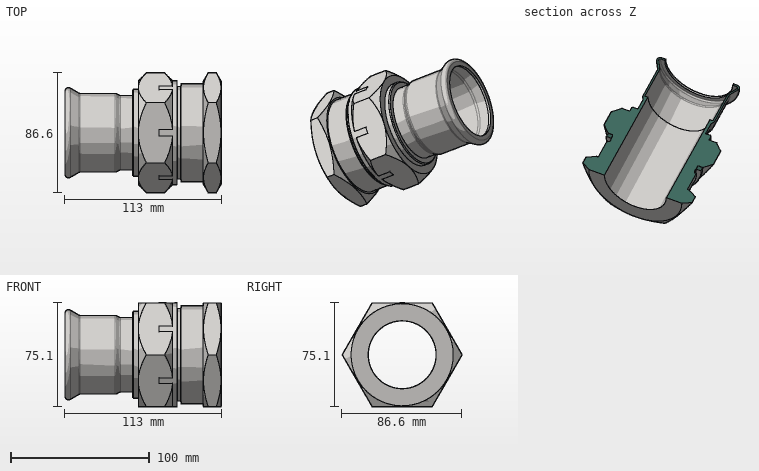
import cadquery as cq
import math

TOTAL_LENGTH = 113.0
LIP_END_X = 11.0
SOCKET_END_X = 36.3
COLLAR_X = 48.8
NUT_X = 53.0
TAB_X = 67.9
RING_X = 77.7
RING_END_X = 80.9
BARREL_X = 84.0
HEX_X = 99.7

SOCKET_R = 57.0 / 2
NECK_R = 54.0 / 2
COLLAR_R = 63.0 / 2
GROOVE_R = 67.0 / 2
BARREL_R = 71.0 / 2
RING_R = 75.1 / 2
MOUTH_R = 26.8
BORE_R = 24.4

SHEET = SOCKET_R - MOUTH_R
FORM_ANGLE = math.radians(30)
LIP_BEND_R = 2.6
LIP_BLEND_R = 1.6
NECK_BEND_R = 2.5

COLLAR_CHAMFER = 0.8
BARREL_RAMP = 0.7
SEAT_RAMP = 0.3
SEAT_R = GROOVE_R + SEAT_RAMP

HEX_SIDES = 6
ACROSS_FLATS = 75.0
FLAT_R = ACROSS_FLATS / 2
CORNER_R = FLAT_R / math.cos(math.pi / HEX_SIDES)
NUT_CHAMFER_ANGLE = math.radians(45)
HEX_CHAMFER_ANGLE = math.radians(30)
HEX_FACE_R = 36.8
TAB_WIDTH = 4.7


def cylinder(x_start, x_end, radius):
    """Solid cylinder along X between two stations."""
    return cq.Workplane("YZ", origin=(x_start, 0, 0)).circle(radius).extrude(x_end - x_start)


def revolve_about_x(profile):
    return profile.close().revolve(360, (0, 0, 0), (1, 0, 0))


def arc_point(center, radius, angle):
    """Point on an arc; the angle is measured from +radial toward +X."""
    return (center[0] + radius * math.sin(angle), center[1] + radius * math.cos(angle))


def chamfered_hexagon(x_start, x_end, face_radius, chamfer_angle):
    """Hexagon with horizontal top and bottom flats and conically turned corners."""
    depth = (CORNER_R - face_radius) * math.tan(chamfer_angle)
    prism = (
        cq.Workplane("YZ", origin=(x_start, 0, 0))
        .polygon(HEX_SIDES, 2 * CORNER_R)
        .extrude(x_end - x_start)
    )
    turning = revolve_about_x(
        cq.Workplane("XY")
        .moveTo(x_start, 0)
        .lineTo(x_start, face_radius)
        .lineTo(x_start + depth, CORNER_R)
        .lineTo(x_end - depth, CORNER_R)
        .lineTo(x_end, face_radius)
        .lineTo(x_end, 0)
    )
    return prism.intersect(turning)


BLEND_CENTER = (LIP_END_X, SOCKET_R + LIP_BLEND_R)
BLEND_START = arc_point(BLEND_CENTER, -LIP_BLEND_R, FORM_ANGLE)
LIP_CONE_X = LIP_BEND_R * (1 + math.sin(FORM_ANGLE))
LIP_CONE_R = BLEND_START[1] + (BLEND_START[0] - LIP_CONE_X) * math.tan(FORM_ANGLE)
LIP_CENTER = (LIP_BEND_R, LIP_CONE_R - LIP_BEND_R * math.cos(FORM_ANGLE))

BEND_DROP = NECK_BEND_R * (1 - math.cos(FORM_ANGLE))
NECK_CONE_LENGTH = (SOCKET_R - NECK_R - 2 * BEND_DROP) / math.tan(FORM_ANGLE)
NECK_X = SOCKET_END_X + 2 * NECK_BEND_R * math.sin(FORM_ANGLE) + NECK_CONE_LENGTH
SHOULDER_CENTER = (SOCKET_END_X, SOCKET_R - NECK_BEND_R)
NECK_CENTER = (NECK_X, NECK_R + NECK_BEND_R)


def turned_envelope():
    """Solid of revolution: lip, socket, neck, collar, ring seat, groove and barrel."""
    return revolve_about_x(
        cq.Workplane("XY")
        .moveTo(0, 0)
        .lineTo(0, LIP_CENTER[1])
        .threePointArc(
            arc_point(LIP_CENTER, LIP_BEND_R, 0),
            arc_point(LIP_CENTER, LIP_BEND_R, FORM_ANGLE),
        )
        .lineTo(*BLEND_START)
        .threePointArc(
            arc_point(BLEND_CENTER, -LIP_BLEND_R, FORM_ANGLE / 2),
            (LIP_END_X, SOCKET_R),
        )
        .lineTo(SOCKET_END_X, SOCKET_R)
        .threePointArc(
            arc_point(SHOULDER_CENTER, NECK_BEND_R, FORM_ANGLE / 2),
            arc_point(SHOULDER_CENTER, NECK_BEND_R, FORM_ANGLE),
        )
        .lineTo(*arc_point(NECK_CENTER, -NECK_BEND_R, FORM_ANGLE))
        .threePointArc(
            arc_point(NECK_CENTER, -NECK_BEND_R, FORM_ANGLE / 2),
            (NECK_X, NECK_R),
        )
        .lineTo(COLLAR_X, NECK_R)
        .lineTo(COLLAR_X, COLLAR_R - COLLAR_CHAMFER)
        .lineTo(COLLAR_X + COLLAR_CHAMFER, COLLAR_R)
        .lineTo(NUT_X, COLLAR_R)
        .lineTo(NUT_X, SEAT_R)
        .lineTo(RING_END_X, SEAT_R)
        .lineTo(RING_END_X + SEAT_RAMP, GROOVE_R)
        .lineTo(BARREL_X - BARREL_RAMP, GROOVE_R)
        .lineTo(BARREL_X, GROOVE_R + BARREL_RAMP)
        .lineTo(BARREL_X, BARREL_R)
        .lineTo(HEX_X, BARREL_R)
        .lineTo(HEX_X, 0)
    )


def socket_cavity():
    """Mouth, seal groove inside the lip, and socket; its walls follow the formed sheet."""
    inner_lip_r = LIP_BEND_R - SHEET
    inner_blend_r = LIP_BLEND_R + SHEET
    return revolve_about_x(
        cq.Workplane("XY")
        .moveTo(0, 0)
        .lineTo(0, MOUTH_R)
        .lineTo(SHEET, MOUTH_R)
        .lineTo(SHEET, LIP_CENTER[1])
        .threePointArc(
            arc_point(LIP_CENTER, inner_lip_r, 0),
            arc_point(LIP_CENTER, inner_lip_r, FORM_ANGLE),
        )
        .lineTo(*arc_point(BLEND_CENTER, -inner_blend_r, FORM_ANGLE))
        .threePointArc(
            arc_point(BLEND_CENTER, -inner_blend_r, FORM_ANGLE / 2),
            (LIP_END_X, MOUTH_R),
        )
        .lineTo(SOCKET_END_X, MOUTH_R)
        .lineTo(SOCKET_END_X, 0)
    )


def make_locking_ring():
    """Ring behind the nut with one locking tab at the middle of each hexagon flat."""
    ring = cylinder(RING_X, RING_END_X, RING_R)
    tab_blanks = cylinder(TAB_X, RING_X, RING_R)
    for index in range(HEX_SIDES // 2):
        bar = (
            cq.Workplane("XY")
            .box(RING_X - TAB_X, TAB_WIDTH, 2 * CORNER_R, centered=(False, True, True))
            .translate((TAB_X, 0, 0))
            .rotate((0, 0, 0), (1, 0, 0), index * 360 / HEX_SIDES)
        )
        ring = ring.union(tab_blanks.intersect(bar))
    return ring.cut(cylinder(TAB_X, RING_END_X, SEAT_R))


def nut_slots():
    """Slots that take the tabs, open through the hexagon flats."""
    slots = cq.Workplane("XY")
    for index in range(HEX_SIDES):
        slot = (
            cq.Workplane("XY")
            .box(RING_X - TAB_X, TAB_WIDTH, CORNER_R, centered=(False, True, False))
            .translate((TAB_X, 0, 0))
            .rotate((0, 0, 0), (1, 0, 0), index * 360 / HEX_SIDES)
        )
        slots = slots.add(slot)
    return slots.combine().cut(cylinder(TAB_X, RING_X, SEAT_R))


def make_fitting():
    """Press socket, slotted union nut and hexagon end in one bored body."""
    nut = chamfered_hexagon(NUT_X, RING_X, FLAT_R, NUT_CHAMFER_ANGLE).cut(nut_slots())
    end_hexagon = chamfered_hexagon(HEX_X, TOTAL_LENGTH, HEX_FACE_R, HEX_CHAMFER_ANGLE)
    body = turned_envelope().union(nut).union(end_hexagon)
    return body.cut(socket_cavity()).cut(cylinder(0, TOTAL_LENGTH, BORE_R))


fitting = make_fitting().solids()
locking_ring = make_locking_ring().solids()
result = cq.Compound.makeCompound([fitting.val(), locking_ring.val()])